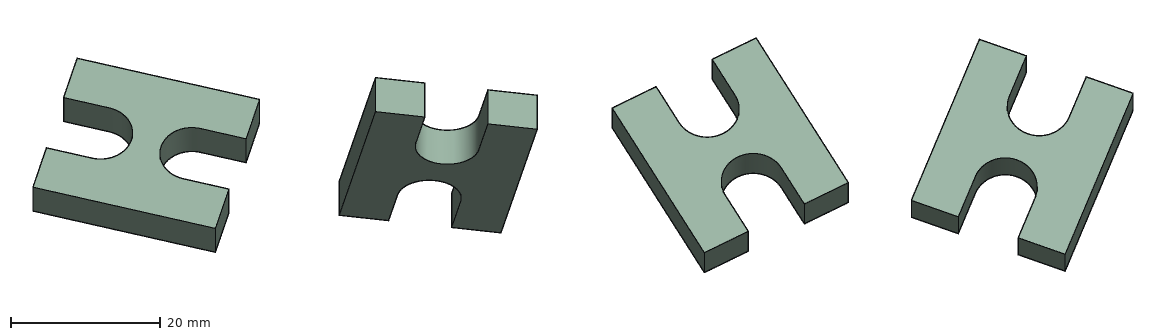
import cadquery as cq

length = 25.4
width = 22.1
thickness = 5.5

slot_width = 8.59
web_thickness = 4.11

slot_radius = slot_width / 2
slot_depth = (length - web_thickness) / 2
straight_depth = slot_depth - slot_radius


def end_slot(side):
    """Slot cutter entering from the +X end (side = 1) or the -X end (side = -1)."""
    open_x = side * length / 2
    arc_center_x = open_x - side * straight_depth
    slot_bottom_x = open_x - side * slot_depth
    return (
        cq.Workplane("XY")
        .moveTo(open_x, slot_radius)
        .lineTo(arc_center_x, slot_radius)
        .threePointArc((slot_bottom_x, 0), (arc_center_x, -slot_radius))
        .lineTo(open_x, -slot_radius)
        .close()
        .extrude(thickness)
    )


result = cq.Workplane("XY").rect(length, width).extrude(thickness)
for side in (-1, 1):
    result = result.cut(end_slot(side))